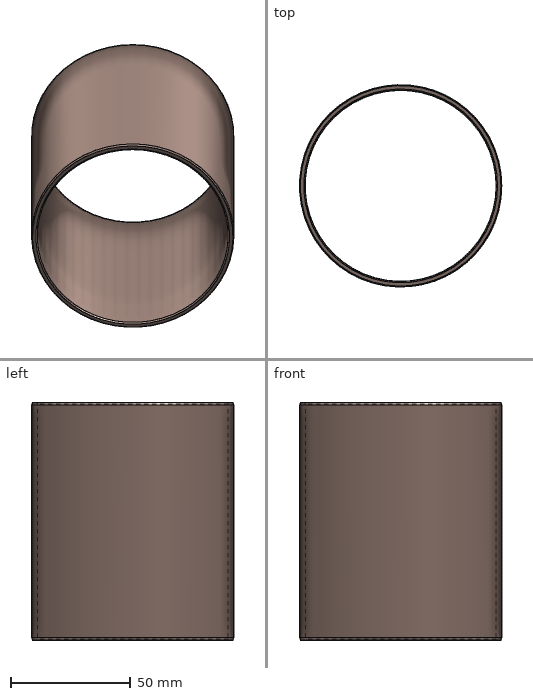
import cadquery as cq

height = 100.0
outer_diameter = 85.0
wall = 2.4

outer_bevel_width = 0.4
outer_bevel_height = 1.2
inner_bevel = 0.6

outer_radius = outer_diameter / 2
inner_radius = outer_radius - wall
half_height = height / 2
outer_bevel_start = half_height - outer_bevel_height
inner_bevel_start = half_height - inner_bevel

wall_section = [
    (inner_radius, -inner_bevel_start),
    (inner_radius + inner_bevel, -half_height),
    (outer_radius - outer_bevel_width, -half_height),
    (outer_radius, -outer_bevel_start),
    (outer_radius, outer_bevel_start),
    (outer_radius - outer_bevel_width, half_height),
    (inner_radius + inner_bevel, half_height),
    (inner_radius, inner_bevel_start),
]

result = (
    cq.Workplane("XZ")
    .polyline(wall_section)
    .close()
    .revolve(360, (0, 0, 0), (0, 1, 0))
)